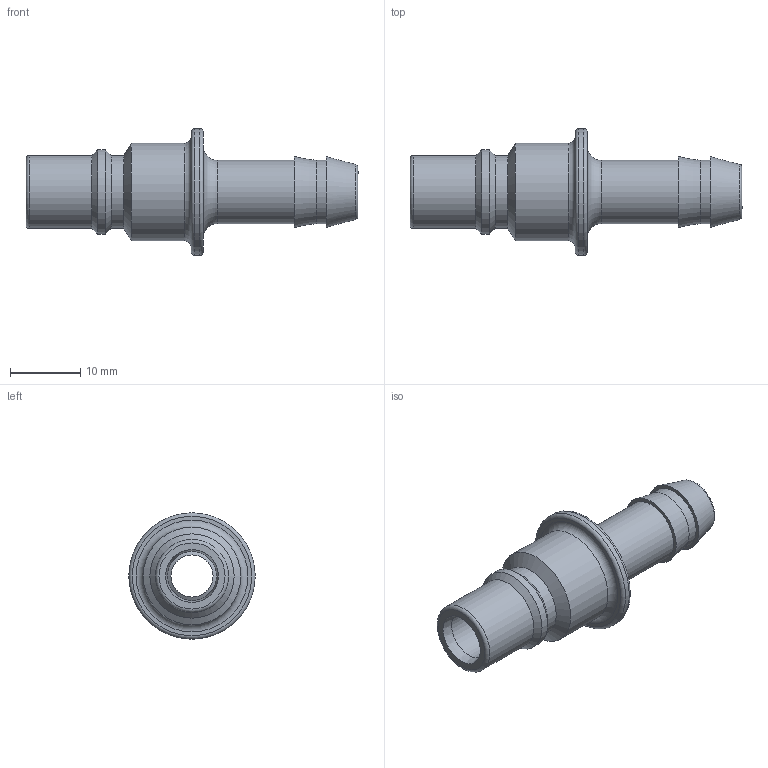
import cadquery as cq
import math

total_length = 47.25
ring_start = 9.35
ring_crest_start = 10.2
ring_crest_end = 11.3
ring_end = 12.15
shoulder_start = 13.9
shoulder_end = 15.0
flange_start = 23.5
flange_end = 25.25
first_barb_start = 38.15
first_barb_end = 41.3
second_barb_start = 42.7

plug_radius = 10.4 / 2
neck_radius = 10.3 / 2
ring_radius = 12.0 / 2
body_radius = 13.9 / 2
flange_radius = 18.0 / 2
stem_radius = 9.0 / 2
barb_radius = 10.1 / 2
tip_radius = 7.75 / 2

plug_edge_rounding = 0.5
tip_edge_rounding = 0.4
flange_edge_rounding = 0.5
body_corner_rounding = 1.0
stem_corner_rounding = 2.0
barb_flank_hollow = 0.06

mouth_radius = 7.5 / 2
plug_bore_radius = 7.0 / 2
stem_bore_radius = 6.0 / 2
mouth_depth = 1.5
plug_bore_depth = flange_start
step_undercut_angle = 30.0
step_undercut = (plug_bore_radius - stem_bore_radius) * math.tan(math.radians(step_undercut_angle))

edge_tolerance = 0.001


def make_turned_body():
    """Revolve the outer outline, drawn as x against radius, about the X axis."""
    outline = (
        cq.Workplane("XY")
        .moveTo(0, 0)
        .lineTo(0, plug_radius)
        .lineTo(ring_start, plug_radius)
        .lineTo(ring_crest_start, ring_radius)
        .lineTo(ring_crest_end, ring_radius)
        .lineTo(ring_end, neck_radius)
        .lineTo(shoulder_start, neck_radius)
        .lineTo(shoulder_end, body_radius)
        .lineTo(flange_start, body_radius)
        .lineTo(flange_start, flange_radius)
        .lineTo(flange_end, flange_radius)
        .lineTo(flange_end, stem_radius)
        .lineTo(first_barb_start, stem_radius)
    )
    outline = add_barb(outline, first_barb_start, first_barb_end, stem_radius)
    outline = outline.lineTo(second_barb_start, stem_radius)
    outline = add_barb(outline, second_barb_start, total_length, tip_radius)
    return outline.lineTo(total_length, 0).close().revolve(360, (0, 0, 0), (1, 0, 0))


def add_barb(outline, start, end, end_radius):
    """Step up to the barb crest and follow a slightly hollow flank down to the end radius."""
    middle_radius = (barb_radius + end_radius) / 2 - barb_flank_hollow
    middle = ((start + end) / 2, middle_radius)
    return outline.lineTo(start, barb_radius).threePointArc(middle, (end, end_radius))


def round_circle(body, x, radius, rounding):
    """Round the circular edge that lies at the given station and radius."""

    def is_wanted(edge):
        at_station = math.isclose(edge.Center().x, x, abs_tol=edge_tolerance)
        at_radius = math.isclose(edge.radius(), radius, abs_tol=edge_tolerance)
        return at_station and at_radius

    return body.edges("%CIRCLE").filter(is_wanted).fillet(rounding)


def make_bore():
    """Bore running the whole length: flared mouth, plug bore, undercut step, stem bore."""
    return (
        cq.Workplane("XY")
        .moveTo(0, 0)
        .lineTo(0, mouth_radius)
        .lineTo(mouth_depth, plug_bore_radius)
        .lineTo(plug_bore_depth, plug_bore_radius)
        .lineTo(plug_bore_depth - step_undercut, stem_bore_radius)
        .lineTo(total_length, stem_bore_radius)
        .lineTo(total_length, 0)
        .close()
        .revolve(360, (0, 0, 0), (1, 0, 0))
    )


body = make_turned_body()
body = round_circle(body, 0, plug_radius, plug_edge_rounding)
body = round_circle(body, flange_start, body_radius, body_corner_rounding)
body = round_circle(body, flange_start, flange_radius, flange_edge_rounding)
body = round_circle(body, flange_end, flange_radius, flange_edge_rounding)
body = round_circle(body, flange_end, stem_radius, stem_corner_rounding)
body = round_circle(body, total_length, tip_radius, tip_edge_rounding)

result = body.cut(make_bore())